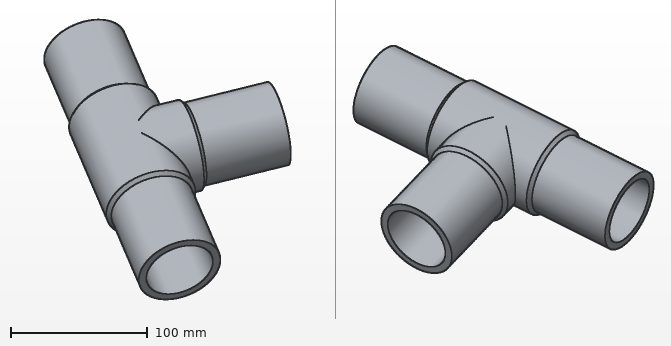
import cadquery as cq

run_length = 224.0
body_diameter = 68.8
pipe_diameter = 63.0
bore_diameter = 51.3
pipe_length = 65.0

arm_length = run_length / 2
body_reach = arm_length - pipe_length
shoulder_bevel = (body_diameter - pipe_diameter) / 2


def cylinder_along_x(diameter, length):
    """Cylinder centred on the origin along the run axis."""
    return cq.Workplane("YZ").circle(diameter / 2).extrude(length / 2, both=True)


def cylinder_along_y(diameter, length):
    """Cylinder from the tee centre out along the +Y branch."""
    return cq.Workplane("XZ").circle(diameter / 2).extrude(-length)


run_body = cylinder_along_x(body_diameter, 2 * body_reach).faces("<X or >X").chamfer(shoulder_bevel)
run = run_body.union(cylinder_along_x(pipe_diameter, run_length))

branch_body = cylinder_along_y(body_diameter, body_reach).faces(">Y").chamfer(shoulder_bevel)
branch = branch_body.union(cylinder_along_y(pipe_diameter, arm_length))

run_bore = cylinder_along_x(bore_diameter, run_length)
branch_bore = cylinder_along_y(bore_diameter, arm_length)

result = run.union(branch).cut(run_bore).cut(branch_bore)